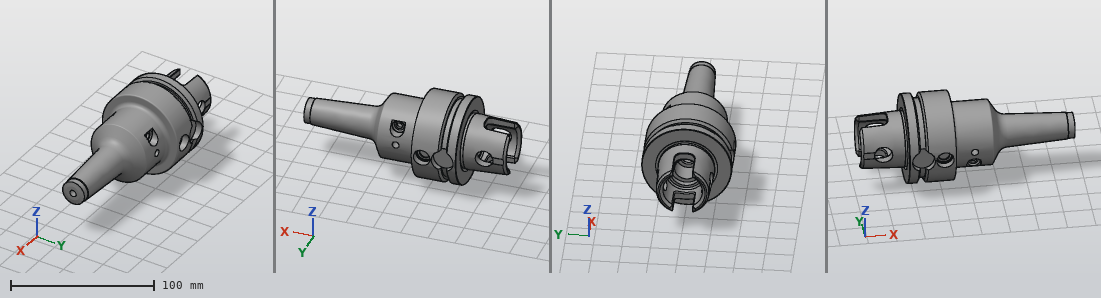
import cadquery as cq
import math


shank_length = 32.0
shank_base_radius = 20.0
shank_half_slope = 0.05
shank_chamfer_length = 1.8
shank_chamfer_depth = 1.4
neck_length = 1.4
neck_radius = 19.6
neck_chamfer = 0.3
face_recess_radius = 21.7
face_recess_depth = 0.9

flange_radius = 31.5
flange_length = 33.0
flange_chamfer = 0.4
flange_back_fillet = 1.0
groove_start = 6.7
groove_end = 13.3
groove_bevel_run = 1.3
groove_bevel_depth = 2.2
groove_floor_radius = 27.8

body_radius = 23.0
body_fillet = 3.0
body_edge_x = 60.5
body_edge_fillet = 1.0
shoulder_angle = 57.5
nose_angle = 3.0
nose_blend_radius = 8.0
nose_end_x = 114.6
nose_end_radius = 9.4
tip_radius = 9.0
tip_start_x = 115.0
tip_shoulder_x = 119.4
tip_end_x = 120.0
tip_face_radius = 5.5

mouth_radius = 15.9
mouth_step_radius = 14.8
mouth_step_depth = 0.9
socket_radius = 13.8
socket_lead_depth = 2.2
socket_end_x = -7.6
socket_bevel = 1.1
chamber_radius = 10.9
chamber_end_x = -2.4
pocket_radius = 8.2
pocket_end_x = 12.0
thread_radius = 5.5
thread_chamfer = 0.9
thread_end_x = 30.0
drill_radius = 2.5

slot_width = 14.0
slot_end_x = -11.7
slot_corner_radius = 4.0
slot_mouth_chamfer = 1.8
slot_outer_edge_chamfer = 0.5
slot_inner_edge_chamfer = 0.8

lock_hole_x = -16.5
lock_hole_diameter = 12.5
lock_hole_tilt = 31.0
lock_hole_pivot_y = 16.7
key_width = 5.0
key_floor_y = 18.25

spot_x = 10.0
spot_diameter = 16.0
spot_floor_y = 26.4
socket_hole_x = 25.1
socket_hole_diameter = 11.0
socket_hole_mouth_diameter = 12.0
socket_hole_floor_y = 24.5
socket_hole_chamfer = (socket_hole_mouth_diameter - socket_hole_diameter) / 2
socket_hole_chamfer_y = 26.0
socket_hole_pilot_diameter = 8.0
socket_hole_pilot_floor_y = 23.5

side_x = 47.1
side_hole_z = -0.9
side_hole_diameter = 5.0
side_hole_floor_y = 15.0
side_passage_diameter = 4.1
side_passage_floor_y = 12.0
screw_z = -12.0
screw_slot_width = 10.0
screw_floor_y = 16.0
screw_head_diameter = 9.2
screw_face_diameter = 6.9
screw_face_depth = 1.0
screw_socket_diameter = 4.62
screw_socket_depth = 2.0
drill_point_angle = 59.0


def revolve_about_x(profile):
    return profile.close().revolve(360, (0, 0, 0), (1, 0, 0))


def shank_radius(x):
    return shank_base_radius + shank_half_slope * x


def both_sides(cutter):
    """Return the cutter together with its copy turned half a turn about X."""
    return cutter.union(cutter.rotate((0, 0, 0), (1, 0, 0), 180))


def side_cylinder(x, z, diameter, floor_y):
    """Cylinder along Y from the floor at Y = -floor_y outwards past the -Y side."""
    plane = cq.Workplane("XZ", origin=(x, -floor_y, z))
    return plane.circle(diameter / 2).extrude(flange_radius)


def side_cone(x, z, outer_radius, inner_radius, outer_y, inner_y):
    """Truncated cone along Y narrowing towards the axis."""
    height = outer_y - inner_y
    cone = cq.Solid.makeCone(outer_radius, inner_radius, height,
                             pnt=cq.Vector(x, -outer_y, z), dir=cq.Vector(0, 1, 0))
    return cq.Workplane(obj=cone)


def drill_point_depth(radius):
    """Length of the conical point left by a drill of this radius."""
    return radius / math.tan(math.radians(drill_point_angle))


def outer_body():
    front_x = -shank_length
    taper_x = front_x + shank_chamfer_length
    taper_radius = shank_radius(taper_x)

    shoulder = math.radians(shoulder_angle)
    taper = math.radians(nose_angle)

    nose_slope = math.tan(taper)
    shoulder_slope = math.tan(shoulder)
    nose_radius_at_edge = nose_end_radius + (nose_end_x - body_edge_x) * nose_slope
    corner_dx = (body_radius - nose_radius_at_edge) / (shoulder_slope - nose_slope)
    corner_x = body_edge_x + corner_dx
    corner_radius = body_radius - corner_dx * shoulder_slope
    tangent = nose_blend_radius * math.tan((shoulder - taper) / 2)
    blend_start = (corner_x - tangent * math.cos(shoulder),
                   corner_radius + tangent * math.sin(shoulder))
    blend_end = (corner_x + tangent * math.cos(taper),
                 corner_radius - tangent * math.sin(taper))
    center = (blend_end[0] + nose_blend_radius * math.sin(taper),
              blend_end[1] + nose_blend_radius * math.cos(taper))
    middle = (shoulder + taper) / 2
    blend_middle = (center[0] - nose_blend_radius * math.sin(middle),
                    center[1] - nose_blend_radius * math.cos(middle))

    edge_tangent = body_edge_fillet * math.tan(shoulder / 2)
    edge_start = (body_edge_x - edge_tangent, body_radius)
    edge_end = (body_edge_x + edge_tangent * math.cos(shoulder),
                body_radius - edge_tangent * math.sin(shoulder))

    profile = (
        cq.Workplane("XY")
        .moveTo(front_x, 0)
        .lineTo(front_x, taper_radius - shank_chamfer_depth)
        .lineTo(taper_x, taper_radius)
        .lineTo(-neck_length, shank_radius(-neck_length))
        .lineTo(-neck_length + neck_chamfer, neck_radius)
        .lineTo(face_recess_depth, neck_radius)
        .lineTo(face_recess_depth, face_recess_radius - face_recess_depth)
        .radiusArc((0, face_recess_radius), -face_recess_depth)
        .lineTo(0, flange_radius - flange_chamfer)
        .lineTo(flange_chamfer, flange_radius)
        .lineTo(groove_start, flange_radius)
        .lineTo(groove_start + groove_bevel_run, flange_radius - groove_bevel_depth)
        .lineTo(groove_start + groove_bevel_run, groove_floor_radius)
        .lineTo(groove_end - groove_bevel_run, groove_floor_radius)
        .lineTo(groove_end - groove_bevel_run, flange_radius - groove_bevel_depth)
        .lineTo(groove_end, flange_radius)
        .lineTo(flange_length - flange_back_fillet, flange_radius)
        .radiusArc((flange_length, flange_radius - flange_back_fillet), flange_back_fillet)
        .lineTo(flange_length, body_radius + body_fillet)
        .radiusArc((flange_length + body_fillet, body_radius), -body_fillet)
        .lineTo(*edge_start)
        .radiusArc(edge_end, body_edge_fillet)
        .lineTo(*blend_start)
        .threePointArc(blend_middle, blend_end)
        .lineTo(nose_end_x, nose_end_radius)
        .lineTo(tip_start_x, tip_radius)
        .lineTo(tip_shoulder_x, tip_radius)
        .lineTo(tip_end_x, tip_face_radius)
        .lineTo(tip_end_x, 0)
    )
    return revolve_about_x(profile)


def bore():
    """Stepped bore running the full length of the part."""
    mouth_x = -shank_length
    core_radius = thread_radius - thread_chamfer
    profile = (
        cq.Workplane("XY")
        .moveTo(mouth_x, 0)
        .lineTo(mouth_x, socket_radius)
        .lineTo(socket_end_x, socket_radius)
        .lineTo(socket_end_x + socket_bevel, socket_radius - socket_bevel)
        .lineTo(socket_end_x + socket_bevel, chamber_radius)
        .lineTo(chamber_end_x, chamber_radius)
        .lineTo(chamber_end_x, pocket_radius)
        .lineTo(pocket_end_x, pocket_radius)
        .lineTo(pocket_end_x, thread_radius)
        .lineTo(pocket_end_x + thread_chamfer, core_radius)
        .lineTo(thread_end_x, core_radius)
        .lineTo(thread_end_x + drill_point_depth(core_radius - drill_radius), drill_radius)
        .lineTo(tip_end_x, drill_radius)
        .lineTo(tip_end_x, 0)
    )
    return revolve_about_x(profile)


def bore_mouth():
    """Two-stage lead-in at the open end of the bore."""
    mouth_x = -shank_length
    profile = (
        cq.Workplane("XY")
        .moveTo(mouth_x, 0)
        .lineTo(mouth_x, mouth_radius)
        .lineTo(mouth_x + mouth_step_depth, mouth_step_radius)
        .lineTo(mouth_x + socket_lead_depth, socket_radius)
        .lineTo(mouth_x + socket_lead_depth, 0)
    )
    return revolve_about_x(profile)


def drive_slots():
    half = slot_width / 2
    mouth_x = -shank_length
    return (
        cq.Workplane("XY")
        .moveTo(mouth_x, -half - slot_mouth_chamfer)
        .lineTo(mouth_x + slot_mouth_chamfer, -half)
        .lineTo(slot_end_x - slot_corner_radius, -half)
        .radiusArc((slot_end_x, -half + slot_corner_radius), -slot_corner_radius)
        .lineTo(slot_end_x, half - slot_corner_radius)
        .radiusArc((slot_end_x - slot_corner_radius, half), -slot_corner_radius)
        .lineTo(mouth_x + slot_mouth_chamfer, half)
        .lineTo(mouth_x, half + slot_mouth_chamfer)
        .close()
        .extrude(shank_base_radius, both=True)
    )


def chamfer_slot_edges(body):
    """Break the slot edges on the outer and inner surface of the shank, clear of the mouth."""
    half = slot_width / 2
    margin = 0.1
    wall_middle = (shank_base_radius + socket_radius) / 2
    slot_box = cq.selectors.BoxSelector(
        (-shank_length + slot_mouth_chamfer, -half - margin, -shank_base_radius),
        (slot_end_x + margin, half + margin, shank_base_radius), boundingbox=True)

    def is_outer(edge):
        center = edge.Center()
        return math.hypot(center.y, center.z) > wall_middle

    def rim_edges(solid):
        return solid.edges(slot_box).edges("not |Z")

    outer_done = rim_edges(body).filter(is_outer).chamfer(slot_outer_edge_chamfer)
    inner_edges = rim_edges(outer_done).filter(lambda edge: not is_outer(edge))
    return inner_edges.chamfer(slot_inner_edge_chamfer)


def lock_holes_and_key_flats():
    hole = side_cylinder(lock_hole_x, 0, lock_hole_diameter, 0)
    tilt = math.radians(lock_hole_tilt)
    tilted = cq.Workplane(obj=cq.Solid.makeCylinder(
        lock_hole_diameter / 2, lock_hole_pivot_y / 2,
        pnt=cq.Vector(lock_hole_x, -lock_hole_pivot_y, 0),
        dir=cq.Vector(-math.sin(tilt), math.cos(tilt), 0)))
    key_length = lock_hole_x + shank_length
    key = cq.Workplane("XY").box(key_length, shank_base_radius, key_width, centered=(False, False, True))
    key = key.translate((-shank_length, -key_floor_y - shank_base_radius, 0))
    return both_sides(hole.union(tilted).union(key))


def flange_side_holes():
    spot = side_cylinder(spot_x, 0, spot_diameter, spot_floor_y)
    mouth = side_cylinder(socket_hole_x, 0, socket_hole_mouth_diameter, socket_hole_chamfer_y)
    chamfer = side_cone(socket_hole_x, 0, socket_hole_mouth_diameter / 2, socket_hole_diameter / 2,
                        socket_hole_chamfer_y, socket_hole_chamfer_y - socket_hole_chamfer)
    hole = side_cylinder(socket_hole_x, 0, socket_hole_diameter, socket_hole_floor_y)
    pilot = side_cylinder(socket_hole_x, 0, socket_hole_pilot_diameter, socket_hole_pilot_floor_y)
    return both_sides(spot.union(mouth).union(chamfer).union(hole).union(pilot))


def body_side_holes():
    small_hole = side_cylinder(side_x, side_hole_z, side_hole_diameter, side_hole_floor_y)
    passage = side_cylinder(side_x, side_hole_z, side_passage_diameter, side_passage_floor_y)
    passage_radius = side_passage_diameter / 2
    passage_tip_y = side_passage_floor_y - drill_point_depth(passage_radius)
    passage_tip = side_cone(side_x, side_hole_z, passage_radius, 0, side_passage_floor_y, passage_tip_y)

    pocket = side_cylinder(side_x, screw_z, screw_slot_width, screw_floor_y)
    run_out = cq.Workplane("XY").box(screw_slot_width, body_radius, body_radius,
                                     centered=(True, False, False))
    run_out = run_out.translate((side_x, -screw_floor_y - body_radius, screw_z - body_radius))

    face_y = screw_floor_y - screw_face_depth
    socket_y = face_y - screw_socket_depth
    screw_socket_radius = screw_socket_diameter / 2
    point_y = socket_y - drill_point_depth(screw_socket_radius)
    head = side_cone(side_x, screw_z, screw_head_diameter / 2, screw_face_diameter / 2,
                     screw_floor_y, face_y)
    socket = side_cylinder(side_x, screw_z, screw_socket_diameter, socket_y)
    point = side_cone(side_x, screw_z, screw_socket_radius, 0, socket_y, point_y)

    small_hole_cut = small_hole.union(passage).union(passage_tip)
    screw_cut = pocket.union(run_out).union(head).union(socket).union(point)
    return both_sides(small_hole_cut.union(screw_cut))


hollow = outer_body().cut(bore())
slotted = chamfer_slot_edges(hollow.cut(drive_slots())).cut(bore_mouth())
result = slotted.cut(lock_holes_and_key_flats()).cut(flange_side_holes()).cut(body_side_holes())